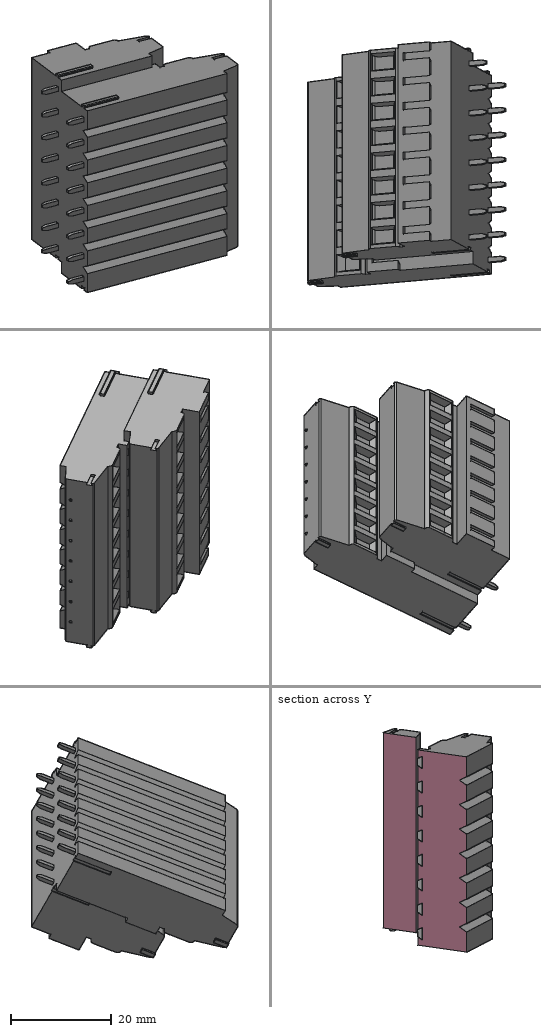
import cadquery as cq


TOTAL_HEIGHT = 44.35
POLE_COUNT = 8
HOUSING_HEIGHT = 40.65
PITCH = HOUSING_HEIGHT / POLE_COUNT
TIER_SHIFT_Z = PITCH / 2
KEY_HEIGHT = (TOTAL_HEIGHT - HOUSING_HEIGHT - TIER_SHIFT_Z) / 2
PIN_LENGTH = 3.6

FLANGE_DEPTH = 1.0
FLANGE_BOTTOM = 7.9
FLANGE_TOP = 14.6
WIRE_FACE_X = 2.65
HOUSING_BACK_X = 12.72
LEDGE_X = 3.45
LIP_RISE = 0.65
LIP_RADIUS = 0.98
WIRE_FACE_BOTTOM = 15.6
WIRE_FACE_TOP = 22.3
SHOULDER_Y = 24.7
HEAD_TOP = 28.65
HEAD_LEFT_X = 4.48
HEAD_RIGHT_X = 10.35
SHOULDER_X = 11.45
FRONT_EASE = (0.25, 0.3)
BACK_EASE = (0.3, 0.55)

TIER_SHIFT_X = HOUSING_BACK_X - WIRE_FACE_X
TIER_SHIFT_Y = 11.45

ENTRY_BOTTOM = 16.4
ENTRY_TOP = 21.45
ENTRY_HEIGHT = 3.6
ENTRY_FLOOR_BOTTOM = 17.15
ENTRY_FLOOR_TOP = 20.15
ENTRY_FLOOR_HEIGHT = 2.6
ENTRY_DEPTH = 1.35
ENTRY_WALL_DEPTH = 0.7
ENTRY_STEP_DEPTH = 1.1
ENTRY_STEP_Y = 21.05
ENTRY_STEP_RADIUS = 0.5

SLOT_TOP = 13.5
SLOT_MOUTH = 1.4
SLOT_FLOOR = 2.5

KEY_WIDTH = 1.2
KEY_NECK = 0.75
KEY_EASE = 0.18
RAIL_X = 11.0
RAIL_LENGTH = 8.02
TONGUE_X = 5.5
TONGUE_LENGTH = 2.9

PIN_X = 11.1
PIN_WIDTH = 0.8
PIN_THICKNESS = 0.98
PIN_TIP_LENGTH = 0.9
PIN_TIP_WIDTH = 0.45
PIN_TIP_THICKNESS = 0.55

NOTCH_WIDTH = 1.7
NOTCH_DEPTH = 1.6
NUB_X = 19.4
NUB_RADIUS = 0.3
NUB_HEIGHT = 0.2
NUB_TAPER = 40


def pole_heights():
    """Z of each pole centre, measured from the bottom of a housing."""
    return [(index + 0.5) * PITCH for index in range(POLE_COUNT)]


def housing(base_x, foot_y):
    """Extruded housing whose lower body starts at base_x, with a flange in front of it."""
    ease_x, ease_y = FRONT_EASE
    back_ease_x, back_ease_y = BACK_EASE
    flange_x = base_x - FLANGE_DEPTH
    return (
        cq.Workplane("XY")
        .moveTo(base_x, foot_y)
        .lineTo(base_x, FLANGE_BOTTOM)
        .lineTo(flange_x, FLANGE_BOTTOM)
        .lineTo(flange_x, FLANGE_TOP)
        .lineTo(LEDGE_X, FLANGE_TOP)
        .lineTo(LEDGE_X, WIRE_FACE_BOTTOM)
        .radiusArc((WIRE_FACE_X, WIRE_FACE_BOTTOM + LIP_RISE), LIP_RADIUS)
        .lineTo(WIRE_FACE_X, WIRE_FACE_TOP - LIP_RISE)
        .radiusArc((LEDGE_X, WIRE_FACE_TOP), LIP_RADIUS)
        .lineTo(HEAD_LEFT_X, HEAD_TOP - ease_y)
        .lineTo(HEAD_LEFT_X + ease_x, HEAD_TOP)
        .lineTo(HEAD_RIGHT_X, HEAD_TOP)
        .lineTo(HEAD_RIGHT_X + back_ease_x, HEAD_TOP - back_ease_y)
        .lineTo(SHOULDER_X, SHOULDER_Y)
        .lineTo(HOUSING_BACK_X, SHOULDER_Y)
        .lineTo(HOUSING_BACK_X, foot_y)
        .close()
        .extrude(HOUSING_HEIGHT)
    )


def wire_entry(z):
    """Funnel cut into the wire face, tapered on all four sides."""
    floor_y = (ENTRY_FLOOR_BOTTOM + ENTRY_FLOOR_TOP) / 2
    mouth_y = (ENTRY_BOTTOM + ENTRY_TOP) / 2
    return (
        cq.Workplane("YZ", origin=(WIRE_FACE_X, mouth_y, z))
        .rect(ENTRY_TOP - ENTRY_BOTTOM, ENTRY_HEIGHT)
        .workplane(offset=ENTRY_DEPTH)
        .center(floor_y - mouth_y, 0)
        .rect(ENTRY_FLOOR_TOP - ENTRY_FLOOR_BOTTOM, ENTRY_FLOOR_HEIGHT)
        .loft(ruled=True)
    )


def stepped_wire_entry(z):
    """Funnel whose upper end has a straight wall, a rounded step and a shallow slope."""
    mouth_x = WIRE_FACE_X
    wall_x = WIRE_FACE_X + ENTRY_WALL_DEPTH
    step_x = WIRE_FACE_X + ENTRY_STEP_DEPTH
    floor_x = WIRE_FACE_X + ENTRY_DEPTH
    side_walls = (
        cq.Workplane("XZ", origin=(0, ENTRY_BOTTOM, z))
        .polyline([
            (mouth_x, -ENTRY_HEIGHT / 2),
            (floor_x, -ENTRY_FLOOR_HEIGHT / 2),
            (floor_x, ENTRY_FLOOR_HEIGHT / 2),
            (mouth_x, ENTRY_HEIGHT / 2),
        ])
        .close()
        .extrude(ENTRY_BOTTOM - ENTRY_TOP)
    )
    return (
        cq.Workplane("XY", origin=(0, 0, z - ENTRY_HEIGHT / 2))
        .moveTo(mouth_x, ENTRY_BOTTOM)
        .lineTo(floor_x, ENTRY_FLOOR_BOTTOM)
        .lineTo(floor_x, ENTRY_FLOOR_TOP)
        .lineTo(step_x, ENTRY_STEP_Y)
        .radiusArc((wall_x, ENTRY_TOP), ENTRY_STEP_RADIUS)
        .lineTo(mouth_x, ENTRY_TOP)
        .close()
        .extrude(ENTRY_HEIGHT)
        .intersect(side_walls)
    )


def flange_slot(base_x, z):
    """Dovetail slot, wider at its floor, open at the lower end of the flange."""
    flange_x = base_x - FLANGE_DEPTH
    return (
        cq.Workplane("XZ", origin=(0, FLANGE_BOTTOM, z))
        .polyline([
            (flange_x, -SLOT_MOUTH / 2),
            (base_x, -SLOT_FLOOR / 2),
            (base_x, SLOT_FLOOR / 2),
            (flange_x, SLOT_MOUTH / 2),
        ])
        .close()
        .extrude(FLANGE_BOTTOM - SLOT_TOP)
    )


def key(x, z, start_y, length, direction):
    """Necked key along +Y; direction is +1 to rise from z and -1 to hang from it."""
    half_profile = [
        (KEY_NECK / 2, 0),
        (KEY_WIDTH / 2, KEY_HEIGHT / 2),
        (KEY_WIDTH / 2, KEY_HEIGHT - KEY_EASE),
        (KEY_WIDTH / 2 - KEY_EASE, KEY_HEIGHT),
    ]
    mirrored = [(-across, up) for across, up in reversed(half_profile)]
    outline = [(across, direction * up) for across, up in half_profile + mirrored]
    return cq.Workplane("XZ", origin=(x, start_y, z)).polyline(outline).close().extrude(-length)


def groove(x, z, start_y, length, direction):
    """Plain dovetail cutter along +Y, narrow at z and wide at its floor."""
    outline = [
        (-KEY_NECK / 2, 0),
        (KEY_NECK / 2, 0),
        (KEY_WIDTH / 2, direction * KEY_HEIGHT),
        (-KEY_WIDTH / 2, direction * KEY_HEIGHT),
    ]
    return cq.Workplane("XZ", origin=(x, start_y, z)).polyline(outline).close().extrude(-length)


def pin(z, foot_y, tip_width):
    """Solder pin pointing from foot_y to -Y, with a tapered tip."""
    shank_length = PIN_LENGTH - PIN_TIP_LENGTH
    shank = (
        cq.Workplane("XZ", origin=(PIN_X, foot_y, z))
        .rect(PIN_WIDTH, PIN_THICKNESS)
        .extrude(shank_length)
    )
    tip = (
        cq.Workplane("XZ", origin=(PIN_X, foot_y - shank_length, z))
        .rect(PIN_WIDTH, PIN_THICKNESS)
        .workplane(offset=PIN_TIP_LENGTH)
        .rect(tip_width, PIN_TIP_THICKNESS)
        .loft(ruled=True)
    )
    return shank.union(tip)


def tier(base_x, foot_y, pin_tip_width, cut_entry):
    """One complete row of poles standing on Z = 0, with its foot at foot_y."""
    tongue_y = HEAD_TOP - TONGUE_LENGTH
    body = housing(base_x, foot_y)
    for z in pole_heights():
        body = body.cut(cut_entry(z)).cut(flange_slot(base_x, z))
    body = body.cut(groove(RAIL_X, 0, foot_y, RAIL_LENGTH, 1))
    body = body.cut(groove(TONGUE_X, HOUSING_HEIGHT, tongue_y, TONGUE_LENGTH, -1))
    body = body.union(key(RAIL_X, HOUSING_HEIGHT, foot_y, RAIL_LENGTH, 1))
    body = body.union(key(TONGUE_X, 0, tongue_y, TONGUE_LENGTH, -1))
    for z in pole_heights():
        body = body.union(pin(z, foot_y, pin_tip_width))
    return body


def back_notch(z):
    """V-notch running the full length of the rear tier's back."""
    back_x = HOUSING_BACK_X + TIER_SHIFT_X
    return (
        cq.Workplane("XZ", origin=(back_x, 0, z))
        .polyline([(0, -NOTCH_WIDTH / 2), (-NOTCH_DEPTH, 0), (0, NOTCH_WIDTH / 2)])
        .close()
        .extrude(-(SHOULDER_Y + TIER_SHIFT_Y))
    )


def nub(z):
    """Small conical marker on the head of the rear tier."""
    head_y = HEAD_TOP + TIER_SHIFT_Y
    return (
        cq.Workplane("XZ", origin=(NUB_X, head_y, z))
        .circle(NUB_RADIUS)
        .extrude(-NUB_HEIGHT, taper=NUB_TAPER)
    )


front_bottom = KEY_HEIGHT + TIER_SHIFT_Z
rear_bottom = KEY_HEIGHT

front_tier = tier(FLANGE_DEPTH, PIN_LENGTH, PIN_TIP_WIDTH, stepped_wire_entry)
rear_tier = tier(WIRE_FACE_X, PIN_LENGTH - TIER_SHIFT_Y, PIN_WIDTH, wire_entry)

front_tier = front_tier.translate((0, 0, front_bottom))
rear_tier = rear_tier.translate((TIER_SHIFT_X, TIER_SHIFT_Y, rear_bottom))
for boundary in range(1, POLE_COUNT):
    boundary_z = rear_bottom + boundary * PITCH
    rear_tier = rear_tier.cut(back_notch(boundary_z)).union(nub(boundary_z))

result = rear_tier.union(front_tier)